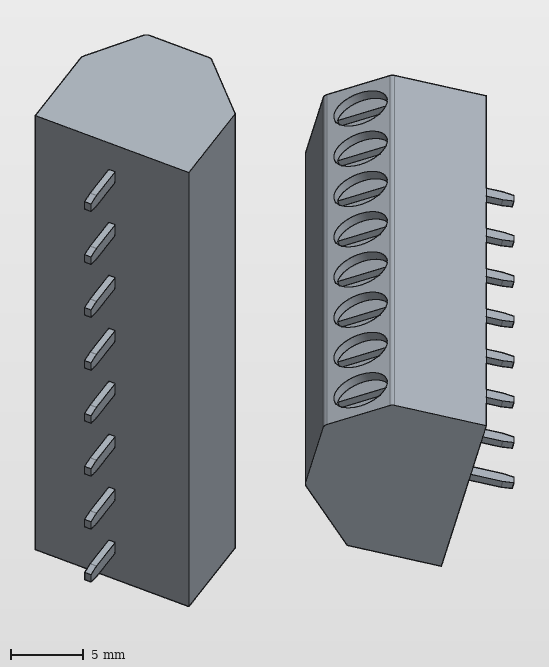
import cadquery as cq
import math

width = 12.0
body_depth = 10.8
shoulder_y = 6.7
screw_slope_run = 2.85
wire_slope_run = body_depth - shoulder_y
crest_radius = 0.45
shoulder_radius = 0.5

pole_count = 8
pitch = 5.0
end_margin = 3.0
length = (pole_count - 1) * pitch + 2 * end_margin

recess_diameter = 3.9
recess_depth = 0.65
screw_center_y = 8.6
slot_width = 0.8
slot_depth = 1.0

pin_length = 3.5
pin_width = 0.5
pin_height = 1.0
tip_length = 0.8
tip_height = 0.7

half_width = width / 2
pole_heights = [end_margin + i * pitch for i in range(pole_count)]


def make_housing():
    outline = [
        (-half_width, 0),
        (half_width, 0),
        (half_width, shoulder_y),
        (half_width - wire_slope_run, body_depth),
        (-half_width + screw_slope_run, body_depth),
        (-half_width, shoulder_y),
    ]
    housing = cq.Workplane("XY").polyline(outline).close().extrude(length)
    crest_edges = housing.faces(">Y").edges("|Z")
    housing = crest_edges.fillet(crest_radius)
    return housing.faces("<X").edges("|Z and >Y").fillet(shoulder_radius)


def make_screw_recess(z):
    """Round recess with a driver slot across its floor, cut square to the steep shoulder."""
    slope_rise = body_depth - shoulder_y
    slope_length = math.hypot(screw_slope_run, slope_rise)
    along_slope = (screw_slope_run / slope_length, slope_rise / slope_length, 0)
    outward = (-along_slope[1], along_slope[0], 0)
    center_x = -half_width + (screw_center_y - shoulder_y) * screw_slope_run / slope_rise
    face = cq.Workplane(cq.Plane((center_x, screw_center_y, z), along_slope, outward))
    full_depth = recess_depth + slot_depth
    recess = face.circle(recess_diameter / 2).extrude(-recess_depth)
    slot_bar = face.rect(recess_diameter, slot_width).extrude(-full_depth)
    slot = face.circle(recess_diameter / 2).extrude(-full_depth).intersect(slot_bar)
    return recess.union(slot)


def make_pin(z):
    """Flat pin, tapered in Z toward its tip."""
    tip_start = tip_length - pin_length
    outline = [
        (0, z - pin_height / 2),
        (tip_start, z - pin_height / 2),
        (-pin_length, z - tip_height / 2),
        (-pin_length, z + tip_height / 2),
        (tip_start, z + pin_height / 2),
        (0, z + pin_height / 2),
    ]
    return cq.Workplane("YZ").polyline(outline).close().extrude(pin_width / 2, both=True)


result = make_housing()
for pole_z in pole_heights:
    result = result.cut(make_screw_recess(pole_z))
    result = result.union(make_pin(pole_z))